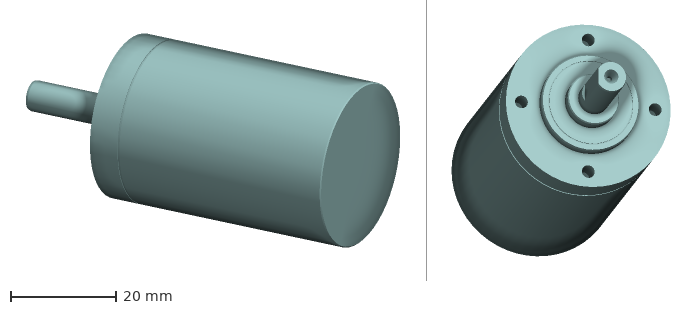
import cadquery as cq
import math

total_length = 70.8
body_diameter = 32.0
body_edge_chamfer = 0.2

collar_start = 16.0
pilot_start = 18.75
flange_start = 20.95
seam_start = 26.9

shaft_diameter = 6.0
collar_diameter = 10.0
pilot_diameter = 19.0
shaft_chamfer = (0.5, 0.15)
collar_chamfer = (0.3, 0.2)
pilot_chamfer = (0.4, 0.2)

seam_width = 0.4
seam_depth = 0.15

ring_outer_diameter = 16.5
ring_width = 0.2
ring_depth = 0.2

flat_length = 12.0
flat_depth = 0.5

center_mouth_diameter = 2.75
center_drill_diameter = 0.9
center_cone_angle = 60.0
center_drill_length = 1.0

mount_hole_count = 4
mount_circle_diameter = 26.0
mount_hole_diameter = 2.5
mount_hole_depth = 4.95
drill_tip_angle = 118.0


def cylinder(start, length, diameter):
    """Cylinder on the X axis."""
    return cq.Workplane("YZ", origin=(start, 0, 0)).circle(diameter / 2).extrude(length)


def chamfered_step(start, end, diameter, chamfer):
    """Cylinder on the X axis with its front edge chamfered."""
    chamfer_length, chamfer_height = chamfer
    return revolve_about_x([
        (start, 0),
        (start, diameter / 2 - chamfer_height),
        (start + chamfer_length, diameter / 2),
        (end, diameter / 2),
        (end, 0),
    ])


def cone_length(diameter_change, included_angle):
    """Axial length over which a cone changes its diameter."""
    return diameter_change / 2 / math.tan(math.radians(included_angle / 2))


def revolve_about_x(points):
    """Solid of revolution from (x, radius) points."""
    return cq.Workplane("XY").polyline(points).close().revolve(360, (0, 0), (1, 0))


def motor_body():
    """Flange and housing, with a shallow seam groove between them."""
    body = cylinder(flange_start, total_length - flange_start, body_diameter)
    body = body.faces(">X").chamfer(body_edge_chamfer)
    seam_floor = cylinder(seam_start, seam_width, body_diameter - 2 * seam_depth)
    seam = cylinder(seam_start, seam_width, body_diameter).cut(seam_floor)
    return body.cut(seam)


def pilot_ring_groove():
    """Narrow circular groove in the pilot face."""
    outer = cylinder(pilot_start, ring_depth, ring_outer_diameter)
    return outer.cut(cylinder(pilot_start, ring_depth, ring_outer_diameter - 2 * ring_width))


def shaft_flat():
    """Cutter for the flat on the +Y side, ending in a 45 degree ramp."""
    top = shaft_diameter / 2
    outline = [
        (0, top - flat_depth),
        (flat_length, top - flat_depth),
        (flat_length + flat_depth, top),
        (0, top),
    ]
    return cq.Workplane("XY").polyline(outline).close().extrude(shaft_diameter / 2, both=True)


def center_hole():
    """Countersunk center drilling in the shaft tip."""
    cone_end = cone_length(center_mouth_diameter - center_drill_diameter, center_cone_angle)
    drill_end = cone_end + center_drill_length
    return revolve_about_x([
        (0, 0),
        (0, center_mouth_diameter / 2),
        (cone_end, center_drill_diameter / 2),
        (drill_end, center_drill_diameter / 2),
        (drill_end, 0),
    ])


def mount_hole():
    """Blind hole with a conical bottom, placed on the +Y side of the flange."""
    tip = mount_hole_depth + cone_length(mount_hole_diameter, drill_tip_angle)
    hole = revolve_about_x([
        (0, 0),
        (0, mount_hole_diameter / 2),
        (mount_hole_depth, mount_hole_diameter / 2),
        (tip, 0),
    ])
    return hole.translate((flange_start, mount_circle_diameter / 2, 0))


result = motor_body()
result = result.union(chamfered_step(pilot_start, flange_start, pilot_diameter, pilot_chamfer))
result = result.union(chamfered_step(collar_start, pilot_start, collar_diameter, collar_chamfer))
result = result.union(chamfered_step(0, collar_start, shaft_diameter, shaft_chamfer))
result = result.cut(pilot_ring_groove()).cut(shaft_flat()).cut(center_hole())

for index in range(mount_hole_count):
    angle = index * 360 / mount_hole_count
    result = result.cut(mount_hole().rotate((0, 0, 0), (1, 0, 0), angle))